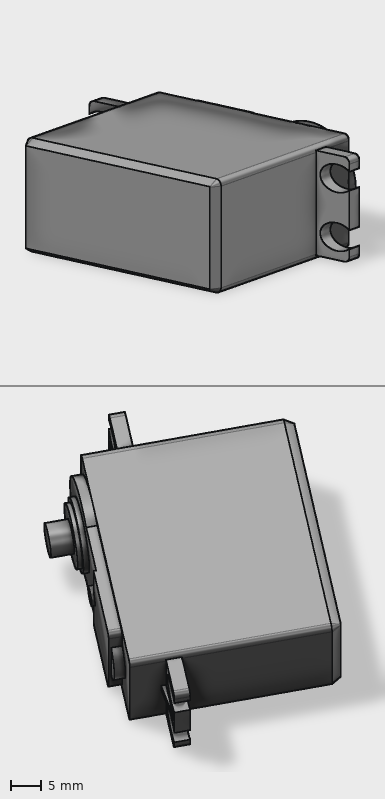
import cadquery as cq
import math

ear_span = 54.5
case_depth = 19.5
case_left = -20.35
case_right = 20.3
case_top = 35.6
edge_radius = 1.05
base_taper_height = 1.7
base_taper_inset = 1.0

ear_depth = 18.0
ear_bottom = 26.85
ear_top = 29.55
slot_radius_x = 3.5
slot_radius_z = 2.4
slot_x = 24.65
slot_z = 5.0
rib_width = 1.3
rib_rise = 0.8
rib_tip_x = 26.5

cover_top = 37.45
plate_top = 37.9
cover_left = -13.95
plate_step_x = -1.5
left_boss_diameter = 11.1
left_boss_left = -16.6
stud_x = -1.15
stud_diameter = 3.4
stud_top = 38.4

gear_boss_radius = case_depth / 2
shaft_x = case_right - gear_boss_radius
flange_diameter = 12.8
flange_top = 38.4
collar_diameter = 11.1
collar_top = 39.25
shaft_diameter = 5.85
shaft_top = 43.15


def block(left, right, bottom, top, depth):
    """Box between the given X and Y limits, centred on Z = 0."""
    size = (right - left, top - bottom, depth)
    return cq.Workplane("XY").box(*size).translate(((left + right) / 2, (bottom + top) / 2, 0))


def post(x, diameter, bottom, top):
    """Round post along +Y, centred on Z = 0."""
    axis_plane = cq.Workplane("XZ", origin=(x, bottom, 0))
    return axis_plane.circle(diameter / 2).extrude(bottom - top)


def make_case():
    case = block(case_left, case_right, base_taper_height, case_top, case_depth)
    case = case.edges("|Y").fillet(edge_radius)
    taper_angle = math.degrees(math.atan2(base_taper_inset, base_taper_height))
    base = case.faces("<Y").wires().toPending().workplane()
    return base.extrude(base_taper_height, taper=taper_angle)


def make_ears():
    half_span = ear_span / 2
    ears = block(-half_span, half_span, ear_bottom, ear_top, ear_depth)
    ears = ears.edges("|Y").fillet(edge_radius)
    slot_centers = [(side * slot_x, row * slot_z) for side in (-1, 1) for row in (-1, 1)]
    slots = (
        cq.Workplane("XZ", origin=(0, ear_bottom, 0))
        .pushPoints(slot_centers)
        .ellipse(slot_radius_x, slot_radius_z)
        .extrude(ear_bottom - ear_top)
    )
    return ears.cut(slots)


def make_ribs():
    """One prism through the case whose sloped ends form both ribs."""
    rib_top = ear_top + rib_rise
    outline = [
        (-rib_tip_x, ear_top),
        (case_left, rib_top),
        (case_right, rib_top),
        (rib_tip_x, ear_top),
    ]
    return cq.Workplane("XY").polyline(outline).close().extrude(rib_width / 2, both=True)


def make_cover():
    cover_right = shaft_x - math.sqrt(gear_boss_radius**2 - (ear_depth / 2) ** 2)
    cover = block(cover_left, cover_right, case_top, plate_top, ear_depth)
    cover = cover.edges("|Y and <X").fillet(edge_radius)
    step = block(plate_step_x, cover_right, cover_top, plate_top, ear_depth)
    cover = cover.cut(step)
    left_boss_x = left_boss_left + left_boss_diameter / 2
    cover = cover.union(post(left_boss_x, left_boss_diameter, case_top, cover_top))
    cover = cover.union(post(shaft_x, 2 * gear_boss_radius, case_top, cover_top))
    return cover.union(post(stud_x, stud_diameter, case_top, stud_top))


def make_output():
    flange = post(shaft_x, flange_diameter, case_top, flange_top)
    collar = post(shaft_x, collar_diameter, case_top, collar_top)
    shaft = post(shaft_x, shaft_diameter, case_top, shaft_top)
    return flange.union(collar).union(shaft)


result = make_case().union(make_ears()).union(make_ribs()).union(make_cover()).union(make_output())